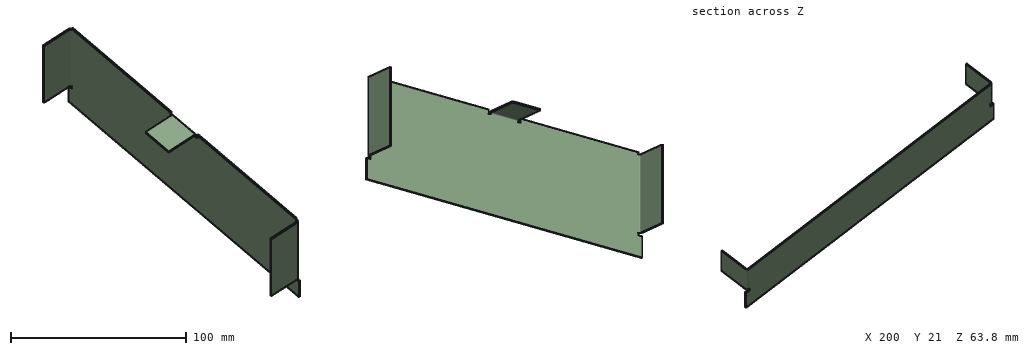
import cadquery as cq

length = 200
height = 63.8
depth = 21.0
thickness = 1.0

outer_radius = 1.5
inner_radius = outer_radius - thickness
relief_gap = 0.5

side_flange_height = 48
side_flange_bottom = 14.5
bottom_strip_height = 13.0
side_flange_inset = 0.8
side_bend_inset = side_flange_inset + outer_radius
side_relief = side_bend_inset + relief_gap

tab_width = 20
notch_width = 23.2
tab_inset = 0.5
tab_bend_inset = tab_inset + outer_radius
notch_depth = tab_bend_inset + relief_gap


def make_panel():
    """Flat sheet with narrowed upper sides and a notch in the top edge."""
    upper_length = length - 2 * side_relief
    upper_height = height - bottom_strip_height
    lower = cq.Workplane("XY").box(
        length, thickness, bottom_strip_height, centered=(True, False, False)
    )
    upper = (
        cq.Workplane("XY")
        .box(upper_length, thickness, upper_height, centered=(True, False, False))
        .translate((0, 0, bottom_strip_height))
    )
    notch = (
        cq.Workplane("XY")
        .box(notch_width, thickness, notch_depth, centered=(True, False, False))
        .translate((0, 0, height - notch_depth))
    )
    return lower.union(upper).cut(notch).translate((0, -thickness, 0))


def make_flange(width):
    """L-bend turning from +X to -Y at the origin, with a root bridging the relief gap."""
    diagonal = 0.5 ** 0.5
    outer_mid = (outer_radius * diagonal, outer_radius * (diagonal - 1))
    inner_mid = (inner_radius * diagonal, inner_radius * diagonal - outer_radius)
    return (
        cq.Workplane("XY")
        .moveTo(-relief_gap, 0)
        .lineTo(0, 0)
        .threePointArc(outer_mid, (outer_radius, -outer_radius))
        .lineTo(outer_radius, -depth)
        .lineTo(inner_radius, -depth)
        .lineTo(inner_radius, -outer_radius)
        .threePointArc(inner_mid, (0, -thickness))
        .lineTo(-relief_gap, -thickness)
        .close()
        .extrude(width)
    )


right_flange = make_flange(side_flange_height).translate(
    (length / 2 - side_bend_inset, 0, side_flange_bottom)
)
left_flange = right_flange.mirror("YZ")

tab = (
    make_flange(tab_width)
    .rotate((0, 0, 0), (0, 1, 0), -90)
    .translate((tab_width / 2, 0, height - tab_bend_inset))
)

result = make_panel().union(right_flange).union(left_flange).union(tab)